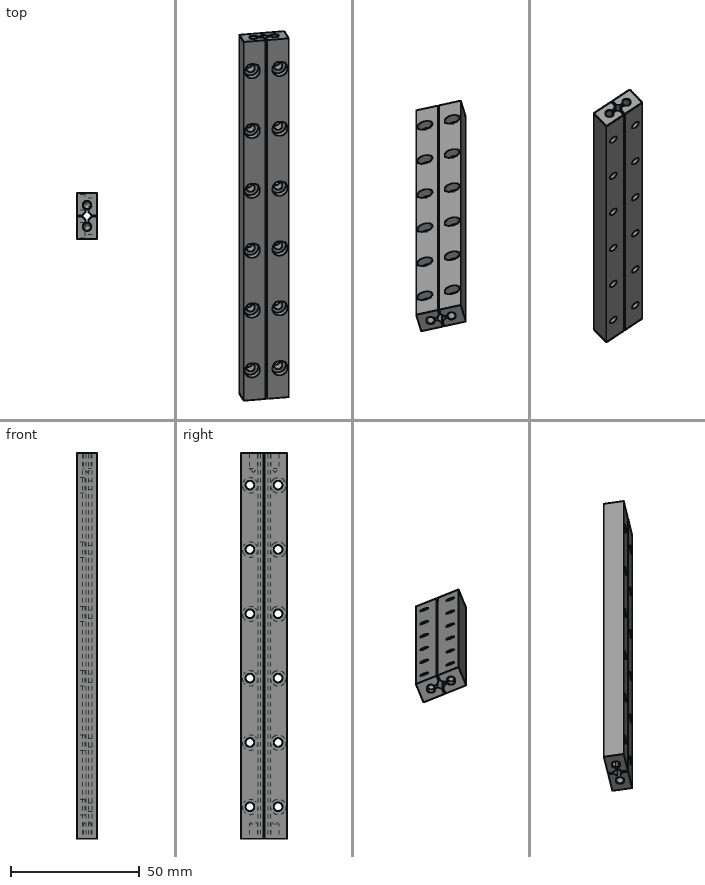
import cadquery as cq
import math

length = 150.0
thickness = 8.0
pair_width = 18.0

rail_gap = 0.5
groove_half_width = 1.8
relief_width = 1.0
relief_bottom = 2.4

hole_count = 6
hole_pitch = length / hole_count
hole_row_spacing = 11.0
hole_diameter = 3.3
counterbore_diameter = 6.0
counterbore_depth = 3.2

end_hole_spacing = 8.4
end_hole_diameter = 3.0
end_hole_chamfer = 0.2
end_hole_depth = 6.0
cone_angle = 90.0

edge_chamfer = 0.1

face_y = rail_gap / 2
half_thickness = thickness / 2
half_relief = relief_width / 2
groove_root_y = face_y + groove_half_width - half_relief


def rail_blank():
    """Plain bar on the +Y side with its edges chamfered."""
    depth = pair_width / 2 - face_y
    bar = cq.Workplane("XY").box(thickness, depth, length)
    return bar.edges().chamfer(edge_chamfer).translate((0, face_y + depth / 2, 0))


def raceway():
    """V groove with a relief slot, running the full length of the rail."""
    return (
        cq.Workplane("XY")
        .workplane(offset=-length / 2)
        .moveTo(-groove_half_width, 0)
        .lineTo(-groove_half_width, face_y)
        .lineTo(-half_relief, groove_root_y)
        .lineTo(-half_relief, relief_bottom)
        .lineTo(half_relief, relief_bottom)
        .lineTo(half_relief, groove_root_y)
        .lineTo(groove_half_width, face_y)
        .lineTo(groove_half_width, 0)
        .close()
        .extrude(length)
    )


def mounting_hole(z):
    """Through hole along X, counterbored at the -X face."""
    start = cq.Workplane("YZ", origin=(-half_thickness, hole_row_spacing / 2, z))
    bore = start.circle(hole_diameter / 2).extrude(thickness)
    counterbore = start.circle(counterbore_diameter / 2).extrude(counterbore_depth)
    return bore.union(counterbore)


def end_hole():
    """Blind hole in the +Z end, closed by a conical floor."""
    radius = end_hole_diameter / 2
    cone_height = radius / math.tan(math.radians(cone_angle / 2))
    return (
        cq.Workplane("XZ")
        .lineTo(radius + end_hole_chamfer, 0)
        .lineTo(radius, -end_hole_chamfer)
        .lineTo(radius, -end_hole_depth)
        .lineTo(0, -end_hole_depth - cone_height)
        .close()
        .revolve(360, (0, 0, 0), (0, 1, 0))
        .translate((0, end_hole_spacing / 2, length / 2))
    )


def make_rail():
    """Complete rail on the +Y side of the mid plane."""
    rail = rail_blank().cut(raceway())
    for index in range(hole_count):
        z = (index - (hole_count - 1) / 2) * hole_pitch
        rail = rail.cut(mounting_hole(z))
    top_hole = end_hole()
    bottom_hole = top_hole.mirror("XY")
    return rail.cut(top_hole).cut(bottom_hole)


left_rail = make_rail()
right_rail = left_rail.mirror("XZ")

result = cq.Compound.makeCompound([left_rail.val(), right_rail.val()])